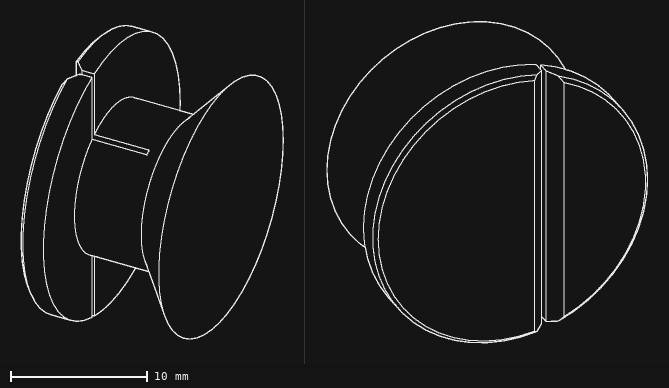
import cadquery as cq

length = 11.0
disc_diameter = 22.0
disc_thickness = 2.0
disc_chamfer = 0.3
neck_diameter = 12.0
flare_start = 7.5
flare_diameter = 20.0

slit_y = -3.0
slit_width = 0.35
slit_depth = 6.5
groove_depth = 1.0

disc_radius = disc_diameter / 2
neck_radius = neck_diameter / 2
flare_radius = flare_diameter / 2


def make_body():
    """Disc, neck and flared end as one revolved half profile."""
    profile = (
        cq.Workplane("XY")
        .moveTo(0, 0)
        .lineTo(0, disc_radius - disc_chamfer)
        .lineTo(disc_chamfer, disc_radius)
        .lineTo(disc_thickness, disc_radius)
        .lineTo(disc_thickness, neck_radius)
        .lineTo(flare_start, neck_radius)
        .lineTo(length, flare_radius)
        .lineTo(length, 0)
        .close()
    )
    return profile.revolve(360, (0, 0, 0), (1, 0, 0))


def make_slit():
    """Narrow slit that opens into a 45 degree V groove at the disc face."""
    half_width = slit_width / 2
    half_mouth = half_width + groove_depth
    return (
        cq.Workplane("XY")
        .moveTo(0, slit_y - half_mouth)
        .lineTo(groove_depth, slit_y - half_width)
        .lineTo(slit_depth, slit_y - half_width)
        .lineTo(slit_depth, slit_y + half_width)
        .lineTo(groove_depth, slit_y + half_width)
        .lineTo(0, slit_y + half_mouth)
        .close()
        .extrude(disc_radius, both=True)
    )


result = make_body().cut(make_slit())